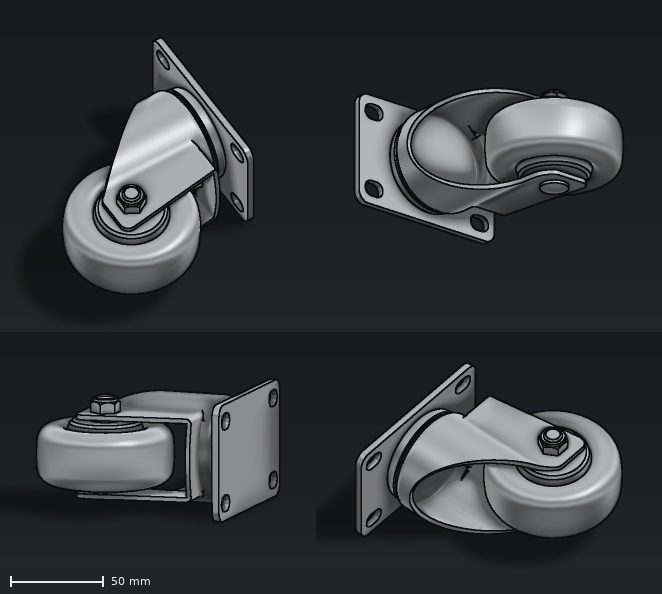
import cadquery as cq
import math


total_length = 119.4
total_height = 107.7

plate_length = 95.0
plate_width = 64.0
plate_thickness = 4.1
plate_corner_radius = 6.2
slot_length = 12.2
slot_width = 8.8
slot_pitch_x = 74.0
slot_pitch_z = 45.0

race_top_radius = 25.8
race_shoulder_radius = 27.2
race_rim_radius = 27.8
race_shoulder_depth = 2.5
race_shoulder_bulge = 0.4
race_height = 6.7
race_rim_chamfer = 0.7
neck_radius = 24.2
neck_height = 1.0

wheel_radius = 37.5
wheel_width = 32.0
tread_edge_radius = 37.0
tread_half_width = 8.1
tyre_side_radius = 28.0
shoulder_bulge = 2.5
dish_radius = 20.8
dish_half_width = 13.0
dish_bulge = 1.0
hub_radius = 19.6
hub_half_width = 18.4
hub_edge_chamfer = 1.5
boss_radius = 8.2

wall = 2.6
cup_radius = 29.6
cup_edge_radius = 4.1
leg_outer_z = 22.9
leg_blend_radius = 12.0
web_depth = 6.9
web_edge_radius = 3.1
web_root_radius = 1.0
web_end_x = 42.9
web_side_x = 40.4
cup_front_y = -23.0
leg_bottom_y = -83.2
leg_bottom_left_x = 24.8
leg_bottom_right_x = 49.5
leg_corner_radius = 5.0

axle_radius = 5.0
axle_end_chamfer = 1.1
nut_width = 14.0
nut_hex_height = 6.2
nut_collar_radius = 6.9
nut_collar_height = 1.4
nut_face_radius = 6.6
head_radius = 7.9
head_rim_height = 1.7
head_dome_height = 0.8
head_face_radius = 3.6

plate_front_y = -plate_thickness
race_bottom_y = plate_front_y - race_height
cup_top_y = race_bottom_y - neck_height
web_top_y = cup_top_y - web_depth

leg_inner_z = leg_outer_z - wall
plate_half_width = plate_width / 2

wheel_axis_x = total_length - plate_length / 2 - wheel_radius
wheel_axis_y = wheel_radius - total_height

blend_z = leg_outer_z + leg_blend_radius
blend_x = math.sqrt((cup_radius + leg_blend_radius) ** 2 - blend_z**2)
blend_angle = math.atan2(blend_x, blend_z)


def on_axle(z):
    """Workplane square to the axle, centred on it at height z."""
    return cq.Workplane("XY", origin=(wheel_axis_x, wheel_axis_y, z))


def turned_about_axle(profile):
    """Revolve an XZ profile, drawn about the Z axis, and move it onto the axle."""
    turned = profile.revolve(360, (0, 0, 0), (0, 1, 0))
    return turned.translate((wheel_axis_x, wheel_axis_y, 0))


def cone(base_z, height, base_radius, top_radius):
    """Truncated cone on the axle."""
    return on_axle(base_z).circle(base_radius).workplane(offset=height).circle(top_radius).loft()


def plate_and_race():
    plate = (
        cq.Workplane("XZ")
        .rect(plate_length, plate_width)
        .extrude(plate_thickness)
        .edges("|Y")
        .fillet(plate_corner_radius)
    )
    slots = (
        cq.Workplane("XZ")
        .rect(slot_pitch_x, slot_pitch_z, forConstruction=True)
        .vertices()
        .slot2D(slot_length, slot_width)
        .extrude(plate_thickness)
    )
    shoulder_y = plate_front_y - race_shoulder_depth
    race_profile = (
        cq.Workplane("XY")
        .moveTo(0, plate_front_y)
        .lineTo(race_top_radius, plate_front_y)
        .sagittaArc((race_shoulder_radius, shoulder_y), race_shoulder_bulge)
        .lineTo(race_rim_radius, race_bottom_y + race_rim_chamfer)
        .lineTo(race_rim_radius - race_rim_chamfer, race_bottom_y)
        .lineTo(neck_radius, race_bottom_y)
        .lineTo(neck_radius, cup_top_y)
        .lineTo(0, cup_top_y)
        .close()
    )
    race = race_profile.revolve(360, (0, 0, 0), (0, 1, 0))
    return plate.cut(slots).union(race)


def fork_form(inset):
    """Solid bounded by the fork's outer skin moved inwards by the inset."""
    far_x = leg_bottom_right_x + wall
    radius = cup_radius - inset
    leg_z = leg_outer_z - inset
    blend = leg_blend_radius + inset
    edge = web_edge_radius - inset
    top_y = web_top_y - inset

    cup = (
        cq.Workplane("XZ", origin=(0, cup_top_y - inset, 0))
        .circle(radius)
        .extrude(cup_top_y - inset - leg_bottom_y)
        .faces(">Y")
        .edges()
        .fillet(cup_edge_radius - inset)
    )

    touch_x = radius * math.sin(blend_angle)
    touch_z = radius * math.cos(blend_angle)
    middle_x = blend_x - blend * math.sin(blend_angle / 2)
    middle_z = blend_z - blend * math.cos(blend_angle / 2)
    channel = (
        cq.Workplane("XZ", origin=(0, top_y, 0))
        .moveTo(0, touch_z)
        .lineTo(touch_x, touch_z)
        .threePointArc((middle_x, middle_z), (blend_x, leg_z))
        .lineTo(far_x, leg_z)
        .lineTo(far_x, -leg_z)
        .lineTo(blend_x, -leg_z)
        .threePointArc((middle_x, -middle_z), (touch_x, -touch_z))
        .lineTo(0, -touch_z)
        .close()
        .extrude(top_y - leg_bottom_y)
    )

    diagonal = edge * (1 - math.sqrt(0.5))
    corner = (
        cq.Sketch()
        .segment((top_y, leg_z), (top_y, leg_z - edge))
        .arc(
            (top_y, leg_z - edge),
            (top_y - diagonal, leg_z - diagonal),
            (top_y - edge, leg_z),
        )
        .close()
        .assemble()
    )
    corner_plane = cq.Workplane("YZ", origin=(blend_x, 0, 0)).placeSketch(corner)
    straight_corner = corner_plane.extrude(far_x - blend_x)
    curved_corner = corner_plane.revolve(
        math.degrees(blend_angle), (0, blend_z, 0), (1, blend_z, 0)
    )
    for waste in (straight_corner, curved_corner):
        channel = channel.cut(waste).cut(waste.mirror("XY"))

    root = web_root_radius + inset
    root_axis = radius + root
    root_diagonal = root * (1 - math.sqrt(0.5))
    flat_angle = math.degrees(math.asin((leg_z - edge) / root_axis))
    web_root = (
        cq.Workplane("XY")
        .moveTo(radius - wall / 2, top_y)
        .lineTo(root_axis, top_y)
        .threePointArc((radius + root_diagonal, top_y + root_diagonal), (radius, top_y + root))
        .lineTo(radius - wall / 2, top_y + root)
        .close()
        .revolve(2 * flat_angle, (0, 0, 0), (0, 1, 0))
        .rotate((0, 0, 0), (0, 1, 0), -flat_angle)
    )
    return cup.union(channel).union(web_root)


def rim_y(x):
    """Height of the sloping front rim where it crosses the outer skin at x."""
    slope = (leg_bottom_y - cup_front_y) / (leg_bottom_left_x + cup_radius)
    return cup_front_y + slope * (x + cup_radius)


def rim_cutter(axis_x, axis_z, skin_radius, radii, start, stop):
    """Everything in front of the rim around one bend of the sheet.

    The rim face is ruled along the radii of the bend, so it stays square to the sheet.
    """

    def rim_curve(radius):
        def point(angle):
            return (
                axis_x + radius * math.sin(angle),
                rim_y(axis_x + skin_radius * math.sin(angle)),
                axis_z + radius * math.cos(angle),
            )

        return cq.Workplane("XY").parametricCurve(point, start=start, stop=stop, makeWire=False)

    edges = [rim_curve(radius).val() for radius in radii]
    rim_face = cq.Face.makeRuledSurface(*edges)
    return cq.Workplane(cq.Solid.extrudeLinear(rim_face, cq.Vector(0, leg_bottom_y, 0)))


def front_opening():
    margin = wall / 2
    cup_radii = (cup_radius - wall - margin, cup_radius + margin)
    blend_radii = (leg_blend_radius - margin, leg_blend_radius + wall + margin)
    cup_cutter = rim_cutter(
        0, 0, cup_radius, cup_radii, blend_angle, -math.pi - blend_angle
    )
    blend_cutter = rim_cutter(
        blend_x, blend_z, leg_blend_radius, blend_radii, math.pi, math.pi + blend_angle
    )
    return [cup_cutter, blend_cutter, blend_cutter.mirror("XY")]


def fork():
    outline_depth = 2 * cup_radius
    cup_outline = cq.Workplane("XY", origin=(-cup_radius, leg_bottom_y, -cup_radius)).box(
        cup_radius + blend_x, cup_top_y - leg_bottom_y, outline_depth, centered=False
    )
    leg_outline = (
        cq.Workplane("XY", origin=(0, 0, -cup_radius))
        .moveTo(blend_x, cup_top_y)
        .lineTo(blend_x, rim_y(blend_x))
        .lineTo(leg_bottom_left_x, leg_bottom_y)
        .lineTo(leg_bottom_right_x, leg_bottom_y)
        .lineTo(web_side_x, web_top_y - wall)
        .lineTo(web_side_x, cup_top_y)
        .close()
        .extrude(outline_depth)
        .edges("|Z and <Y")
        .fillet(leg_corner_radius)
    )
    web_nose = (
        cq.Workplane("XZ", origin=(0, web_top_y, 0))
        .moveTo(web_side_x, leg_inner_z)
        .threePointArc((web_end_x, 0), (web_side_x, -leg_inner_z))
        .close()
        .extrude(wall)
    )
    skin = fork_form(0).cut(fork_form(wall))
    bracket = skin.intersect(cup_outline.union(leg_outline).union(web_nose))
    axle_hole = on_axle(-cup_radius).circle(axle_radius).extrude(outline_depth)
    for cutter in front_opening():
        bracket = bracket.cut(cutter)
    return bracket.cut(axle_hole)


def wheel():
    side_z = wheel_width / 2
    profile = (
        cq.Workplane("XZ")
        .moveTo(axle_radius, 0)
        .lineTo(axle_radius, leg_inner_z)
        .lineTo(boss_radius, leg_inner_z)
        .lineTo(boss_radius, hub_half_width)
        .lineTo(hub_radius - hub_edge_chamfer, hub_half_width)
        .lineTo(hub_radius, hub_half_width - hub_edge_chamfer)
        .lineTo(dish_radius, dish_half_width)
        .sagittaArc((tyre_side_radius, side_z), dish_bulge)
        .sagittaArc((tread_edge_radius, tread_half_width), shoulder_bulge)
        .threePointArc((wheel_radius, 0), (tread_edge_radius, -tread_half_width))
        .lineTo(axle_radius, -tread_half_width)
        .close()
    )
    upper_half = turned_about_axle(profile)
    return upper_half.union(upper_half.mirror("XY"))


def nut():
    corner_radius = nut_width / math.sqrt(3)
    hexagon = (
        on_axle(leg_outer_z)
        .polygon(6, 2 * corner_radius)
        .extrude(nut_hex_height)
    )
    corner_trim = cone(
        leg_outer_z, nut_hex_height, nut_collar_radius + nut_hex_height, nut_collar_radius
    )
    collar_z = leg_outer_z + nut_hex_height
    collar = cone(collar_z, nut_collar_height, nut_collar_radius, nut_face_radius)
    return hexagon.intersect(corner_trim).union(collar)


def head():
    rim_z = -leg_outer_z - head_rim_height
    face_z = rim_z - head_dome_height
    profile = (
        cq.Workplane("XZ")
        .moveTo(0, -leg_outer_z)
        .lineTo(head_radius, -leg_outer_z)
        .lineTo(head_radius, rim_z)
        .lineTo(head_face_radius, face_z)
        .lineTo(0, face_z)
        .close()
    )
    return turned_about_axle(profile)


def axle():
    shank = (
        on_axle(-leg_outer_z)
        .circle(axle_radius)
        .extrude(leg_outer_z + plate_half_width)
        .faces(">Z")
        .chamfer(axle_end_chamfer)
    )
    return shank.union(nut()).union(head())


result = cq.Compound.makeCompound(
    [plate_and_race().val(), fork().val(), wheel().val(), axle().val()]
)